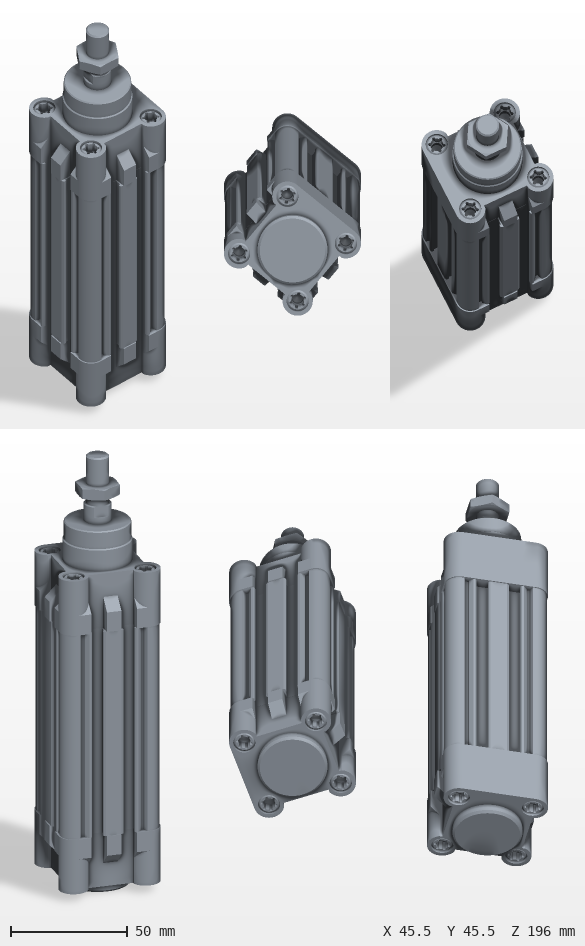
import cadquery as cq
import math

cap_width = 45.5
cap_height = 25.0
barrel_width = 44.5
barrel_length = 94.0
spigot_diameter = 30.0
spigot_height = 4.0
spigot_chamfer = 1.0
rod_tip_z = 196.0

bottom_cap_z = spigot_height
barrel_z = bottom_cap_z + cap_height
top_cap_z = barrel_z + barrel_length
top_face_z = top_cap_z + cap_height
middle_z = barrel_z + barrel_length / 2

screw_spacing = 32.5
screw_offset = screw_spacing / 2
corner_reach = cap_width / 2
boss_radius = corner_reach - screw_offset
core_reach = 17.5
recess_half_width = 10.3
lug_height = 9.0
lug_slope_height = corner_reach - core_reach
center_lug_width = 6.5
corner_lug_width = screw_offset - recess_half_width

screw_recess_diameter = 9.5
screw_recess_depth = 0.5
screw_head_chamfer = 0.9
socket_core_diameter = 5.6
socket_lobe_count = 6
socket_lobe_radius = 0.7
socket_lobe_circle_radius = 3.0
socket_depth = 5.0
drill_diameter = 4.92
drill_depth = 8.0
drill_tip_angle = 118.0

barrel_reach = barrel_width / 2
slot_floor = 17.6
slot_lip_bottom = 20.7
slot_lip_top = 21.7
rib_top_half_width = 3.55
rib_lip_half_width = 4.5
rib_half_width = 3.8
corner_lip_edge = 9.65
corner_lip_top_edge = 10.2
groove_inner_edge = 11.05
groove_floor_depth = 19.8
groove_ramp = 1.65
groove_floor_edge = 14.0
groove_outer_edge = 15.1

collar_diameter = 30.0
collar_height = 10.0
collar_top_diameter = 29.0
collar_top_height = 8.0
collar_chamfer = 0.5
collar_top_z = top_face_z + collar_height + collar_top_height

rod_diameter = 12.0
thread_diameter = 10.0
thread_root_diameter = 8.65
thread_length = 22.0
shoulder_chamfer = 0.25
thread_chamfer = (thread_diameter - thread_root_diameter) / 2
wrench_flat_width = 10.0
wrench_flat_height = 5.0
rod_shoulder_z = rod_tip_z - thread_length

nut_z = 178.0
nut_height = 5.0
nut_across_flats = 17.0
nut_chamfer_angle = 15.0


def block(x_range, y_range, z_range):
    """Box between the given limits."""
    sizes = [high - low for low, high in (x_range, y_range, z_range)]
    return cq.Workplane("XY").box(*sizes, centered=False).translate((x_range[0], y_range[0], z_range[0]))


def make_lug(center, width):
    """Lug on the -Y side of the bottom cap, sloping back to the core at 45 degrees."""
    lug_bottom = barrel_z - lug_height
    return (
        cq.Workplane("YZ")
        .moveTo(-core_reach, barrel_z)
        .lineTo(-corner_reach, barrel_z)
        .lineTo(-corner_reach, lug_bottom)
        .lineTo(-core_reach, lug_bottom - lug_slope_height)
        .close()
        .extrude(width / 2, both=True)
        .translate((center, 0, 0))
    )


def make_screw_cavity():
    """Recess, bevelled screw head, six-lobe socket and drilled end, cut up from Z = 0."""
    recess_radius = screw_recess_diameter / 2
    head_radius = recess_radius - screw_head_chamfer
    drill_radius = drill_diameter / 2
    tip_height = drill_radius / math.tan(math.radians(drill_tip_angle / 2))
    head_z = screw_recess_depth
    turned = (
        cq.Workplane("XZ")
        .lineTo(recess_radius, 0)
        .lineTo(recess_radius, head_z + screw_head_chamfer)
        .lineTo(head_radius, head_z)
        .lineTo(drill_radius, head_z)
        .lineTo(drill_radius, drill_depth)
        .lineTo(0, drill_depth + tip_height)
        .close()
        .revolve(360, (0, 0, 0), (0, 1, 0))
    )
    socket_core = cq.Workplane("XY").circle(socket_core_diameter / 2).extrude(socket_depth)
    socket_lobes = (
        cq.Workplane("XY")
        .polarArray(socket_lobe_circle_radius, 0, 360, socket_lobe_count)
        .circle(socket_lobe_radius)
        .extrude(socket_depth)
    )
    return turned.union(socket_core).union(socket_lobes)


def make_cap():
    """Bottom end cap: square core, four screw bosses, lugs on three sides, flat +Y side."""
    cap_z_range = (bottom_cap_z, barrel_z)
    core = block((-core_reach, core_reach), (-core_reach, core_reach), cap_z_range)
    bosses = (
        cq.Workplane("XY", origin=(0, 0, bottom_cap_z))
        .rect(screw_spacing, screw_spacing, forConstruction=True)
        .vertices()
        .circle(boss_radius)
        .extrude(cap_height)
    )
    back = block((-screw_offset, screw_offset), (0, corner_reach), cap_z_range)
    cap = core.union(bosses)
    recess = block((-recess_half_width, recess_half_width), (-corner_reach, -core_reach), cap_z_range)
    corner_lug_center = recess_half_width + corner_lug_width / 2
    recessed_side_angles = (0, 90, -90)
    for side_angle in recessed_side_angles:
        cap = cap.cut(recess.rotate((0, 0, 0), (0, 0, 1), side_angle))
    for side_angle in recessed_side_angles:
        for center, width in (
            (0, center_lug_width),
            (corner_lug_center, corner_lug_width),
            (-corner_lug_center, corner_lug_width),
        ):
            cap = cap.union(make_lug(center, width).rotate((0, 0, 0), (0, 0, 1), side_angle))
    cap = cap.union(back)
    for x in (-screw_offset, screw_offset):
        for y in (-screw_offset, screw_offset):
            cap = cap.cut(make_screw_cavity().translate((x, y, bottom_cap_z)))
    return cap


def make_spigot():
    """Round centering spigot under the bottom cap."""
    return (
        cq.Workplane("XY")
        .circle(spigot_diameter / 2)
        .extrude(spigot_height)
        .faces("<Z")
        .chamfer(spigot_chamfer)
    )


def make_barrel():
    """Extruded tube profile with two undercut slots and two corner grooves on each side."""
    half_side = [
        (rib_top_half_width, barrel_reach),
        (rib_lip_half_width, slot_lip_top),
        (rib_lip_half_width, slot_lip_bottom),
        (rib_half_width, slot_lip_bottom),
        (rib_half_width, slot_floor),
        (recess_half_width, slot_floor),
        (recess_half_width, slot_lip_bottom),
        (corner_lip_edge, slot_lip_bottom),
        (corner_lip_edge, slot_lip_top),
        (corner_lip_top_edge, barrel_reach),
        (groove_inner_edge, barrel_reach),
        (groove_inner_edge + groove_ramp, barrel_reach - groove_ramp),
        (groove_inner_edge + groove_ramp, groove_floor_depth),
        (groove_floor_edge, groove_floor_depth),
        (groove_outer_edge, barrel_reach),
        (screw_offset, barrel_reach),
    ]
    side = [(-across, out) for across, out in reversed(half_side)] + half_side
    bend = screw_offset + (barrel_reach - screw_offset) * math.sqrt(0.5)

    def turned(point, quarter):
        """Point turned clockwise by quarter turns."""
        x, y = point
        for _ in range(quarter):
            x, y = y, -x
        return x, y

    profile = cq.Workplane("XY", origin=(0, 0, barrel_z)).moveTo(*side[0])
    for quarter in range(4):
        for point in side[1:]:
            profile = profile.lineTo(*turned(point, quarter))
        profile = profile.threePointArc(turned((bend, bend), quarter), turned(side[0], quarter + 1))
    return profile.close().extrude(barrel_length)


def make_collar():
    """Bearing collar on the top cap, in two stepped diameters with chamfered rims."""
    lower = (
        cq.Workplane("XY", origin=(0, 0, top_face_z))
        .circle(collar_diameter / 2)
        .extrude(collar_height)
        .faces(">Z")
        .chamfer(collar_chamfer)
    )
    upper = (
        cq.Workplane("XY", origin=(0, 0, top_face_z + collar_height))
        .circle(collar_top_diameter / 2)
        .extrude(collar_top_height)
        .faces(">Z")
        .chamfer(collar_chamfer)
    )
    return lower.union(upper)


def make_housing():
    """Caps, barrel and collar in one piece, bored for the rod down to the barrel."""
    bottom_cap = make_cap()
    top_cap = bottom_cap.mirror("XY", (0, 0, middle_z))
    housing = make_barrel().union(bottom_cap).union(top_cap).union(make_spigot()).union(make_collar())
    rod_bore = (
        cq.Workplane("XY", origin=(0, 0, top_cap_z))
        .circle(rod_diameter / 2)
        .extrude(collar_top_z - top_cap_z)
    )
    return housing.cut(rod_bore)


def make_rod():
    """Piston rod with a wrench flat on each Y side and a threaded end."""
    rod = (
        cq.Workplane("XY", origin=(0, 0, top_cap_z))
        .circle(rod_diameter / 2)
        .extrude(rod_shoulder_z - top_cap_z)
        .faces(">Z")
        .chamfer(shoulder_chamfer)
    )
    thread = (
        cq.Workplane("XY", origin=(0, 0, rod_shoulder_z))
        .circle(thread_diameter / 2)
        .extrude(thread_length)
        .faces(">Z")
        .chamfer(thread_chamfer)
    )
    rod_radius = rod_diameter / 2
    flat_z_range = (rod_shoulder_z - wrench_flat_height, rod_shoulder_z)
    for y_range in ((wrench_flat_width / 2, rod_radius), (-rod_radius, -wrench_flat_width / 2)):
        rod = rod.cut(block((-rod_radius, rod_radius), y_range, flat_z_range))
    return rod.union(thread)


def make_nut():
    """Hexagon lock nut with flats facing X and both faces chamfered."""
    corner_diameter = nut_across_flats / math.cos(math.pi / 6)
    nut_reach = corner_diameter / 2
    face_radius = nut_across_flats / 2
    chamfer_height = (nut_reach - face_radius) * math.tan(math.radians(nut_chamfer_angle))
    hexagon = cq.Workplane("XY").polygon(6, corner_diameter).extrude(nut_height)
    hexagon = hexagon.rotate((0, 0, 0), (0, 0, 1), 90)
    envelope = (
        cq.Workplane("XZ")
        .lineTo(face_radius, 0)
        .lineTo(nut_reach, chamfer_height)
        .lineTo(nut_reach, nut_height - chamfer_height)
        .lineTo(face_radius, nut_height)
        .lineTo(0, nut_height)
        .close()
        .revolve(360, (0, 0, 0), (0, 1, 0))
    )
    bore = cq.Workplane("XY").circle(thread_diameter / 2).extrude(nut_height)
    return hexagon.intersect(envelope).cut(bore).translate((0, 0, nut_z))


housing = make_housing()
rod = make_rod()
nut = make_nut()

result = cq.Compound.makeCompound([housing.val(), rod.val(), nut.val()])